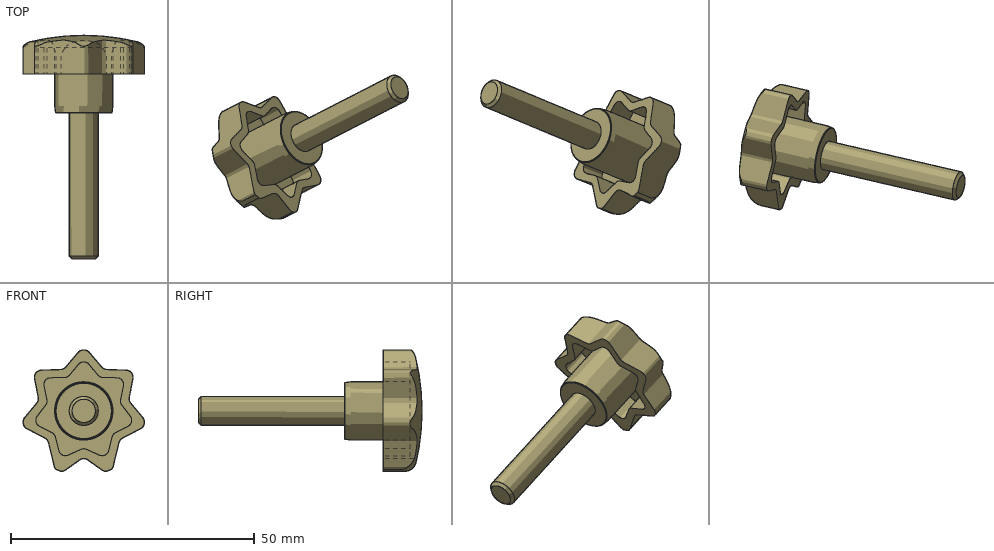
import cadquery as cq
import math

total_length = 46.0
head_height = 8.0
hub_length = 8.0
shaft_length = total_length - head_height - hub_length

lobe_count = 7
tip_radius = 13.4
valley_radius = 9.48
corner_rounding = 1.5
side_tip = (13.35, -2.8)
low_tip = (5.55, -13.5)

pocket_tip_radius = 10.85
pocket_valley_radius = 7.65
pocket_rounding = 1.4
pocket_depth = 5.5

dome_radius = 46.0
envelope_radius = 13.3
envelope_rounding = 3.0

hub_diameter = 12.0
hub_end_inset = 0.2
hub_end_length = 1.4
hub_rim_chamfer = 0.15
shaft_diameter = 6.0
shaft_chamfer = 0.6


def star_corners(tip, valley):
    """Alternating tip and valley corners, starting at the top tip."""
    corners = []
    for i in range(2 * lobe_count):
        radius = valley if i % 2 else tip
        angle = math.pi / 2 + i * math.pi / lobe_count
        corners.append((radius * math.cos(angle), radius * math.sin(angle)))
    return corners


def star_prism(corners, height, rounding):
    """Rounded star extruded from the rim face towards +Y."""
    prism = cq.Workplane("XZ").polyline(corners).close().extrude(-height)
    return prism.edges("|Y").fillet(rounding)


def dome_envelope():
    """Round body whose domed top blends into its side."""
    dome_center_y = head_height - dome_radius
    rounding_center_x = envelope_radius - envelope_rounding
    center_distance = dome_radius - envelope_rounding
    tilt = math.asin(rounding_center_x / center_distance)
    rounding_center_y = dome_center_y + center_distance * math.cos(tilt)

    def dome_point(angle):
        """Point on the dome at an angle from the axis."""
        return (dome_radius * math.sin(angle), dome_center_y + dome_radius * math.cos(angle))

    rounding_middle_angle = (tilt + math.pi / 2) / 2
    rounding_middle = (
        rounding_center_x + envelope_rounding * math.sin(rounding_middle_angle),
        rounding_center_y + envelope_rounding * math.cos(rounding_middle_angle),
    )
    return (
        cq.Workplane("XY")
        .lineTo(envelope_radius, 0)
        .lineTo(envelope_radius, rounding_center_y)
        .threePointArc(rounding_middle, dome_point(tilt))
        .threePointArc(dome_point(tilt / 2), (0, head_height))
        .close()
        .revolve(360, (0, 0), (0, 1))
    )


def cylinder(diameter, start_y, end_y):
    """Cylinder on the Y axis between two positions."""
    return cq.Workplane("XZ", origin=(0, start_y, 0)).circle(diameter / 2).extrude(start_y - end_y)


outer_corners = star_corners(tip_radius, valley_radius)
for lobe, (tip_x, tip_z) in ((2, side_tip), (3, low_tip)):
    outer_corners[-2 * lobe] = (tip_x, tip_z)
    outer_corners[2 * lobe] = (-tip_x, tip_z)
head = star_prism(outer_corners, head_height, corner_rounding).intersect(dome_envelope())
pocket_corners = star_corners(pocket_tip_radius, pocket_valley_radius)
head = head.cut(star_prism(pocket_corners, pocket_depth, pocket_rounding))

hub = cylinder(hub_diameter, pocket_depth, -hub_length)
hub = hub.faces("<Y").chamfer(hub_end_length, hub_end_inset)
hub = hub.faces("<Y").chamfer(hub_rim_chamfer)

shaft = cylinder(shaft_diameter, -hub_length, -hub_length - shaft_length)
shaft = shaft.faces("<Y").chamfer(shaft_chamfer)

result = head.union(hub).union(shaft)